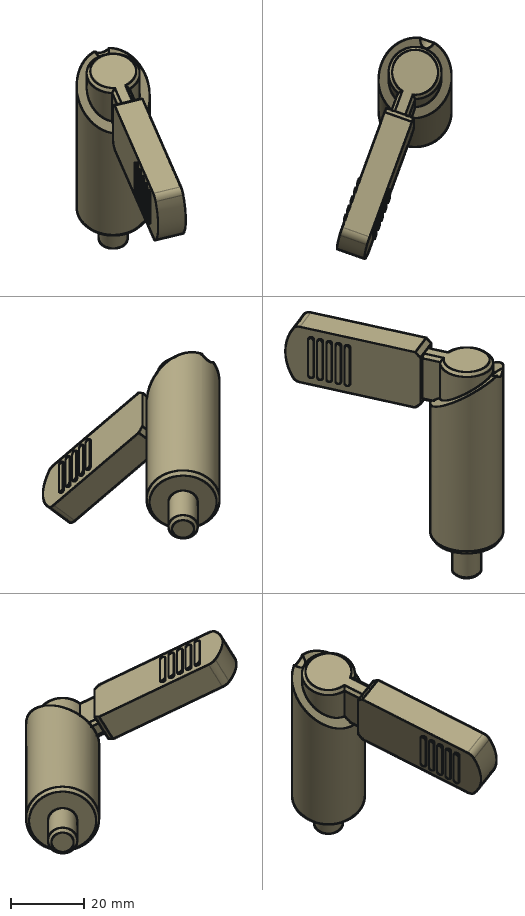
import cadquery as cq
import math

TOTAL_HEIGHT = 70.5
LEVER_REACH = 51.95

SLEEVE_RADIUS = 10.0
SLEEVE_BOTTOM = 12.0
SLEEVE_TOP = 67.55
SLEEVE_LOW_RIM = 54.35
SLEEVE_CHAMFER_HEIGHT = 1.3
SLEEVE_CHAMFER_WIDTH = 0.85
DETENT_RADIUS = 2.25
DETENT_DEPTH = 1.5

GRIP_START = 12.05
GRIP_HEIGHT = 18.0
GRIP_THICKNESS = 8.0
GRIP_CHAMFER = 1.5
GRIP_END_RADIUS = 14.65
GRIP_CORNER_RADIUS = 2.5
GRIP_CENTER_Z = TOTAL_HEIGHT - GRIP_HEIGHT / 2

RIB_COUNT = 5
RIB_PITCH = 2.7
RIB_WIDTH = 1.55
RIB_LENGTH = 13.0
RIB_HEIGHT = 0.5
RIB_FIRST_X = 33.5

PIN_RADIUS = 4.0
HUB_RADIUS = 7.25
NECK_WIDTH = 5.0
HUB_HEIGHT = 14.95
PLUNGER_CHAMFER = 1.0
HUB_BOTTOM = GRIP_CENTER_Z - HUB_HEIGHT / 2


def make_plunger():
    """Pin below a keyhole-shaped hub whose neck carries the grip."""
    neck_root_x = math.sqrt(HUB_RADIUS**2 - (NECK_WIDTH / 2) ** 2)
    hub = (
        cq.Workplane("XY", origin=(0, 0, HUB_BOTTOM))
        .moveTo(GRIP_START, -NECK_WIDTH / 2)
        .lineTo(GRIP_START, NECK_WIDTH / 2)
        .lineTo(neck_root_x, NECK_WIDTH / 2)
        .threePointArc((-HUB_RADIUS, 0), (neck_root_x, -NECK_WIDTH / 2))
        .close()
        .extrude(HUB_HEIGHT)
    )
    hub = hub.faces("|Z").edges("not >X").chamfer(PLUNGER_CHAMFER)
    pin = cq.Workplane("XY").circle(PIN_RADIUS).extrude(HUB_BOTTOM)
    pin = pin.faces("<Z").chamfer(PLUNGER_CHAMFER)
    return hub.union(pin)


def make_sleeve(plunger):
    """Chamfered tube with a sloped cam face, a detent groove and the plunger's seat."""
    slope_profile = (
        cq.Workplane("XZ")
        .moveTo(-SLEEVE_RADIUS, SLEEVE_BOTTOM)
        .lineTo(SLEEVE_RADIUS, SLEEVE_BOTTOM)
        .lineTo(SLEEVE_RADIUS, SLEEVE_LOW_RIM)
        .lineTo(-SLEEVE_RADIUS, SLEEVE_TOP)
        .close()
        .extrude(SLEEVE_RADIUS, both=True)
    )
    sleeve = (
        cq.Workplane("XY", origin=(0, 0, SLEEVE_BOTTOM))
        .circle(SLEEVE_RADIUS)
        .extrude(SLEEVE_TOP - SLEEVE_BOTTOM)
        .faces("<Z")
        .chamfer(SLEEVE_CHAMFER_HEIGHT, SLEEVE_CHAMFER_WIDTH)
        .intersect(slope_profile)
    )
    detent = (
        cq.Workplane("YZ", origin=(-SLEEVE_RADIUS, 0, SLEEVE_TOP - DETENT_DEPTH + DETENT_RADIUS))
        .circle(DETENT_RADIUS)
        .extrude(SLEEVE_RADIUS)
    )
    return sleeve.cut(detent).cut(plunger)


def make_grip():
    """Flat grip with a bowed far end, bevelled near end and raised ribs."""
    bottom_z = GRIP_CENTER_Z - GRIP_HEIGHT / 2
    bow = GRIP_END_RADIUS - math.sqrt(GRIP_END_RADIUS**2 - (GRIP_HEIGHT / 2) ** 2)
    corner_x = LEVER_REACH - bow
    grip = (
        cq.Workplane("XZ")
        .moveTo(GRIP_START + GRIP_CHAMFER, bottom_z)
        .lineTo(corner_x, bottom_z)
        .threePointArc((LEVER_REACH, GRIP_CENTER_Z), (corner_x, TOTAL_HEIGHT))
        .lineTo(GRIP_START + GRIP_CHAMFER, TOTAL_HEIGHT)
        .lineTo(GRIP_START, TOTAL_HEIGHT - GRIP_CHAMFER)
        .lineTo(GRIP_START, bottom_z + GRIP_CHAMFER)
        .close()
        .extrude(GRIP_THICKNESS / 2, both=True)
    )
    corners = cq.selectors.BoxSelector(
        (corner_x - GRIP_CHAMFER, -GRIP_THICKNESS, 0),
        (LEVER_REACH, GRIP_THICKNESS, 2 * TOTAL_HEIGHT),
    )
    grip = grip.edges("|Y").edges(corners).fillet(GRIP_CORNER_RADIUS)

    rib_half_depth = GRIP_THICKNESS / 2 + RIB_HEIGHT
    for index in range(RIB_COUNT):
        rib = (
            cq.Workplane("XZ", origin=(RIB_FIRST_X + index * RIB_PITCH, 0, GRIP_CENTER_Z))
            .slot2D(RIB_LENGTH, RIB_WIDTH, 90)
            .extrude(rib_half_depth, both=True)
        )
        grip = grip.union(rib)
    return grip


plunger = make_plunger()
sleeve = make_sleeve(plunger)
grip = make_grip()

result = cq.Compound.makeCompound([sleeve.val(), plunger.val(), grip.val()])